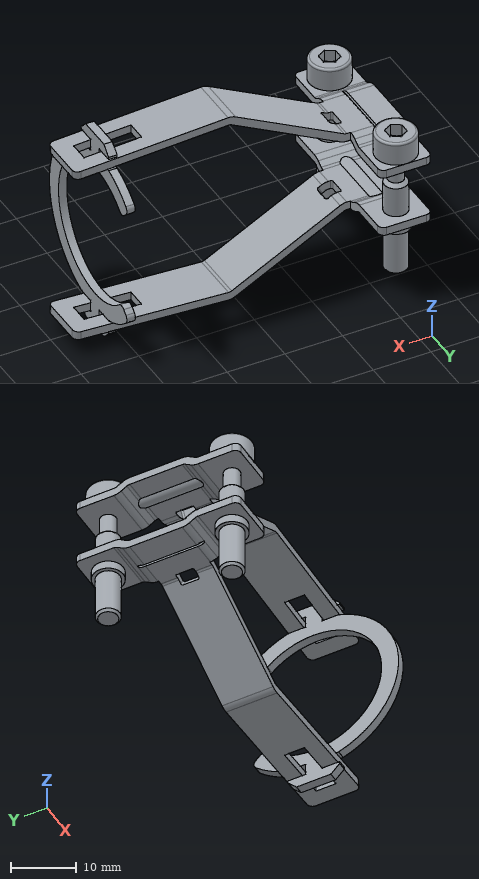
import cadquery as cq
import math

THICKNESS = 1.5
BEND_INNER_R = 1.0
BEND_OUTER_R = BEND_INNER_R + THICKNESS
CORNER_R = 1.0

PLATE_LENGTH = 8.95
PLATE_HALF_WIDTH = 14.35
EAR_TOP_Z = 6.2
BRIDGE_TOP_Z = 7.25
BRIDGE_CORNER_Y = 5.3
EAR_CORNER_Y = 7.1

ARM_HALF_WIDTH = 4.5
ARM_FOOT_X = 9.85
ARM_PEAK_X = 29.5
ARM_PEAK_Z = 17.4
ARM_END_X = 56.7
ARM_END_Z = 15.95

WINDOW_LENGTH = 2.0
WINDOW_WIDTH = 3.1
WINDOW_CORNER_R = 0.3
SLOT_START_X = 43.75
SLOT_END_X = 53.65
SLOT_WIDTH = 3.45

BEAD_X = 4.75
BEAD_GROOVE_R = 0.2
BEAD_RIDGE_R = 1.75
BEAD_AXIS_DEPTH = 0.1
BEAD_AXIS_Z = BRIDGE_TOP_Z - BEAD_AXIS_DEPTH
BEAD_HALF_LENGTH = 6.25

SCREW_X = PLATE_LENGTH / 2
SCREW_Y = 10.85
HEAD_D = 7.0
HEAD_HEIGHT = 4.0
HEAD_TOP_Z = EAR_TOP_Z + HEAD_HEIGHT
HEAD_FILLET = 0.4
SOCKET_FLATS = 3.0
SOCKET_DEPTH = 2.0
SOCKET_FLOOR_SLOPE = 30.0
SHANK_D = 2.7
THREAD_D = 4.0
THREAD_END_D = 3.25
THREAD_CHAMFER = (THREAD_D - THREAD_END_D) / 2
THREAD_TOP_Z = 0.55
SCREW_END_Z = -15.8
BOSS_D = 5.2
BOSS_HEIGHT = 1.5

RING_X = 49.3
RING_THICKNESS = 1.5
RING_CENTER_Y = -0.15
RING_OUTER_R = 15.0
RING_INNER_R = 11.95
RING_FLAT_Z = 14.3
RING_END_ANGLE = 43.6
RING_END_FILLET = 1.0
TAB_CENTER_Y = -0.3
NECK_WIDTH = 2.85
TAB_HALF_WIDTH = 4.55
TAB_SHOULDER_Z = 16.4
TAB_TOP_Z = 18.3
TAB_CHAMFER = 1.55


def bent_sheet(plane, top_points, half_width):
    """Sheet that hangs below a line of top-surface points, with rounded bends."""
    angles = [math.atan2(b[1] - a[1], b[0] - a[0]) for a, b in zip(top_points, top_points[1:])]
    before = angles[:1] + angles
    after = angles + angles[-1:]
    bottom_points = []
    for (u, v), a, b in zip(top_points, before, after):
        miter = THICKNESS / math.cos((b - a) / 2)
        middle = (a + b) / 2
        bottom_points.append((u + miter * math.sin(middle), v - miter * math.cos(middle)))
    outline = top_points + bottom_points[::-1]
    sheet = cq.Workplane(plane).polyline(outline).close().extrude(half_width, both=True)
    for i in range(1, len(top_points) - 1):
        top_is_outside = after[i] < before[i]
        top_radius = BEND_OUTER_R if top_is_outside else BEND_INNER_R
        bottom_radius = BEND_INNER_R if top_is_outside else BEND_OUTER_R
        for point, radius in ((top_points[i], top_radius), (bottom_points[i], bottom_radius)):
            corner = cq.Plane.named(plane).toWorldCoords(point)
            sheet = sheet.edges(cq.NearestToPointSelector(corner.toTuple())).fillet(radius)
    return sheet


def clamp_plate():
    right_half = [
        (BRIDGE_CORNER_Y, BRIDGE_TOP_Z),
        (EAR_CORNER_Y, EAR_TOP_Z),
        (PLATE_HALF_WIDTH, EAR_TOP_Z),
    ]
    left_half = [(-y, z) for y, z in reversed(right_half)]
    plate = bent_sheet("YZ", left_half + right_half, PLATE_LENGTH / 2)
    plate = plate.translate((PLATE_LENGTH / 2, 0, 0))
    return plate.edges("|Z").edges("<Y or >Y").fillet(CORNER_R)


def arm():
    top_points = [
        (PLATE_LENGTH / 2, BRIDGE_TOP_Z),
        (ARM_FOOT_X, BRIDGE_TOP_Z),
        (ARM_PEAK_X, ARM_PEAK_Z),
        (ARM_END_X, ARM_END_Z),
    ]
    strip = bent_sheet("XZ", top_points, ARM_HALF_WIDTH)
    return strip.faces(">X").edges("<Y or >Y").fillet(CORNER_R)


def arm_window():
    """Cutter at the foot of the arm; its far wall is square to the sloping sheet."""
    slope = math.atan2(ARM_PEAK_Z - BRIDGE_TOP_Z, ARM_PEAK_X - ARM_FOOT_X)
    far_x = PLATE_LENGTH + WINDOW_LENGTH
    far_z = BRIDGE_TOP_Z + (far_x - ARM_FOOT_X) * math.tan(slope)
    top_z = BRIDGE_TOP_Z + THICKNESS
    bottom_z = BRIDGE_TOP_Z - 2 * THICKNESS
    profile = [
        (PLATE_LENGTH, bottom_z),
        (far_x + (far_z - bottom_z) * math.tan(slope), bottom_z),
        (far_x - (top_z - far_z) * math.tan(slope), top_z),
        (PLATE_LENGTH, top_z),
    ]
    cutter = cq.Workplane("XZ").polyline(profile).close().extrude(WINDOW_WIDTH / 2, both=True)
    return cutter.edges("#Y").edges("not |X").fillet(WINDOW_CORNER_R)


def arm_slot():
    return cq.Workplane("XY").box(
        SLOT_END_X - SLOT_START_X, SLOT_WIDTH, ARM_PEAK_Z, centered=(False, True, False)
    ).translate((SLOT_START_X, 0, 0))


def bead_rod(radius):
    return (
        cq.Workplane("XZ")
        .center(BEAD_X, BEAD_AXIS_Z)
        .circle(radius)
        .extrude(BEAD_HALF_LENGTH, both=True)
    )


def bead_ridge():
    """Part of the ridge rod that lies no higher than the ears, so only its underside stands out."""
    below_ears = cq.Workplane("XY").box(
        PLATE_LENGTH, 2 * PLATE_HALF_WIDTH, EAR_TOP_Z, centered=(False, True, False)
    )
    return bead_rod(BEAD_RIDGE_R).intersect(below_ears)


def screw_cylinders(diameter, bottom_z, top_z):
    """A cylinder on each of the two screw axes."""
    return (
        cq.Workplane("XY", origin=(SCREW_X, 0, bottom_z))
        .pushPoints([(0, SCREW_Y), (0, -SCREW_Y)])
        .circle(diameter / 2)
        .extrude(top_z - bottom_z)
    )


def plain_strap():
    strap = clamp_plate().union(arm()).union(bead_ridge())
    strap = strap.cut(bead_rod(BEAD_GROOVE_R))
    return strap.cut(arm_window()).cut(arm_slot())


def make_upper_strap():
    """Strap with a clearance hole for each screw shank."""
    return plain_strap().cut(screw_cylinders(SHANK_D, 0, BRIDGE_TOP_Z))


def make_lower_strap():
    """Mirrored strap with a threaded boss under each ear."""
    boss_bottom_z = -EAR_TOP_Z - BOSS_HEIGHT
    strap = plain_strap().mirror("XY")
    strap = strap.union(screw_cylinders(BOSS_D, boss_bottom_z, -EAR_TOP_Z))
    return strap.cut(screw_cylinders(THREAD_D, boss_bottom_z, 0))


def hex_socket():
    """Hexagonal recess with a conical floor, points along Y."""
    corner_d = SOCKET_FLATS / math.cos(math.pi / 6)
    tip_z = HEAD_TOP_Z - SOCKET_DEPTH - corner_d / 2 * math.tan(math.radians(SOCKET_FLOOR_SLOPE))
    prism = (
        cq.Workplane("XY", origin=(0, 0, tip_z))
        .transformed(rotate=(0, 0, 90))
        .polygon(6, corner_d)
        .extrude(HEAD_TOP_Z - tip_z)
    )
    drill_profile = [
        (0, tip_z),
        (corner_d / 2, HEAD_TOP_Z - SOCKET_DEPTH),
        (corner_d / 2, HEAD_TOP_Z),
        (0, HEAD_TOP_Z),
    ]
    drill = cq.Workplane("XZ").polyline(drill_profile).close().revolve(360, (0, 0), (0, 1))
    return prism.intersect(drill)


def make_screw(side):
    profile = [
        (0, SCREW_END_Z),
        (THREAD_END_D / 2, SCREW_END_Z),
        (THREAD_D / 2, SCREW_END_Z + THREAD_CHAMFER),
        (THREAD_D / 2, THREAD_TOP_Z),
        (SHANK_D / 2, THREAD_TOP_Z + (THREAD_D - SHANK_D) / 2),
        (SHANK_D / 2, EAR_TOP_Z),
        (HEAD_D / 2, EAR_TOP_Z),
        (HEAD_D / 2, HEAD_TOP_Z),
        (0, HEAD_TOP_Z),
    ]
    screw = cq.Workplane("XZ").polyline(profile).close().revolve(360, (0, 0), (0, 1))
    screw = screw.faces(">Z").edges().fillet(HEAD_FILLET)
    return screw.cut(hex_socket()).translate((SCREW_X, side * SCREW_Y, 0))


def on_circle(radius, degrees):
    angle = math.radians(degrees)
    return (radius * math.cos(angle), radius * math.sin(angle))


def ring_arc():
    """Open arc with the opening toward +Y and a flat at its top and bottom."""
    arc = (
        cq.Workplane("YZ")
        .moveTo(*on_circle(RING_OUTER_R, RING_END_ANGLE))
        .threePointArc((-RING_OUTER_R, 0), on_circle(RING_OUTER_R, -RING_END_ANGLE))
        .lineTo(*on_circle(RING_INNER_R, -RING_END_ANGLE))
        .threePointArc((-RING_INNER_R, 0), on_circle(RING_INNER_R, RING_END_ANGLE))
        .close()
        .extrude(RING_THICKNESS)
    )
    arc = arc.edges("|X").fillet(RING_END_FILLET)
    between_flats = cq.Workplane("XY").box(2 * RING_THICKNESS, 2 * RING_OUTER_R, 2 * RING_FLAT_Z)
    return arc.intersect(between_flats)


def ring_tab():
    """Neck through the slot and a chamfered head that hooks over the arm."""
    neck_bottom_z = (RING_INNER_R + RING_OUTER_R) / 2
    right_half = [
        (NECK_WIDTH / 2, neck_bottom_z),
        (NECK_WIDTH / 2, TAB_SHOULDER_Z),
        (TAB_HALF_WIDTH, TAB_SHOULDER_Z),
        (TAB_HALF_WIDTH, TAB_TOP_Z - TAB_CHAMFER),
        (TAB_HALF_WIDTH - TAB_CHAMFER, TAB_TOP_Z),
    ]
    left_half = [(-y, z) for y, z in reversed(right_half)]
    tab = cq.Workplane("YZ").polyline(right_half + left_half).close().extrude(RING_THICKNESS)
    return tab.translate((RING_X, TAB_CENTER_Y, 0))


def make_ring():
    tab = ring_tab()
    arc = ring_arc().translate((RING_X, RING_CENTER_Y, 0))
    return arc.union(tab).union(tab.mirror("XY"))


upper_strap = make_upper_strap()
lower_strap = make_lower_strap()
screws = [make_screw(side) for side in (1, -1)]
ring = make_ring()

result = cq.Compound.makeCompound(
    [upper_strap.val(), lower_strap.val(), *[screw.val() for screw in screws], ring.val()]
)